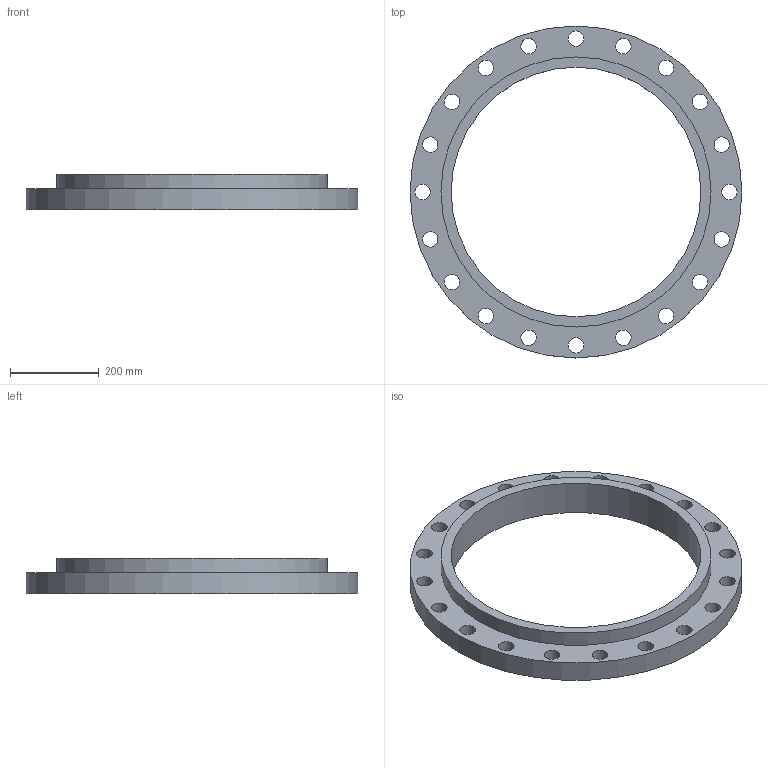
import cadquery as cq

INCH = 25.4

flange_diameter = 29.5 * INCH
flange_thickness = 1.875 * INCH
overall_height = 3.1875 * INCH
hub_diameter = 24.0 * INCH
bore_diameter = 22.19 * INCH

bolt_count = 20
bolt_circle_diameter = 27.25 * INCH
bolt_hole_diameter = 1.375 * INCH


def make_body():
    """Flat flange ring carrying a straight hub, bored through."""
    flange = cq.Workplane("XY").circle(flange_diameter / 2).extrude(flange_thickness)
    hub = cq.Workplane("XY").circle(hub_diameter / 2).extrude(overall_height)
    bore = cq.Workplane("XY").circle(bore_diameter / 2).extrude(overall_height)
    return flange.union(hub).cut(bore)


def make_bolt_holes():
    """Ring of evenly spaced through holes."""
    return (
        cq.Workplane("XY")
        .polarArray(bolt_circle_diameter / 2, 0, 360, bolt_count)
        .circle(bolt_hole_diameter / 2)
        .extrude(flange_thickness)
    )


result = make_body().cut(make_bolt_holes())